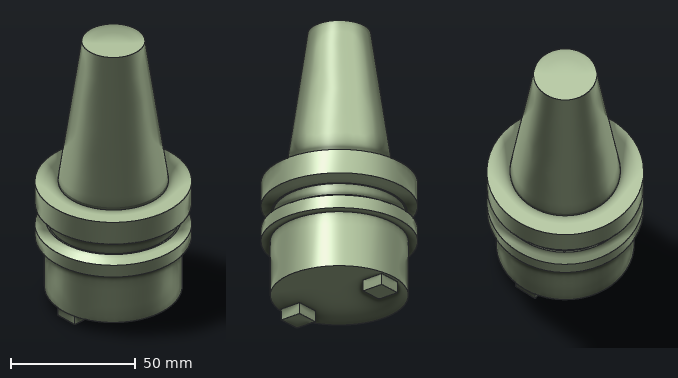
import cadquery as cq

total_height = 121.1
key_height = 4.8
flange_bottom = 28.8
flange_top = 54.7

shank_top_radius = 12.7
shank_base_radius = 22.2
collar_height = 1.0

flange_radius = 31.5
groove_radius = 26.5
groove_shoulder_radius = 27.2
lower_rim_top = 34.4
groove_floor_bottom = 36.8
groove_floor_top = 41.9
upper_rim_bottom = 44.3

nose_radius = 27.7
key_width = 9.9
key_length = 9.6
key_center_offset = 21.3


def make_body():
    """Revolve the shank, flange and nose about the Z axis."""
    profile = [
        (0, key_height),
        (nose_radius, key_height),
        (nose_radius, flange_bottom),
        (flange_radius, flange_bottom),
        (flange_radius, lower_rim_top),
        (groove_shoulder_radius, groove_floor_bottom),
        (groove_radius, groove_floor_bottom),
        (groove_radius, groove_floor_top),
        (groove_shoulder_radius, groove_floor_top),
        (flange_radius, upper_rim_bottom),
        (flange_radius, flange_top),
        (shank_base_radius, flange_top),
        (shank_base_radius, flange_top + collar_height),
        (shank_top_radius, total_height),
        (0, total_height),
    ]
    return cq.Workplane("XZ").polyline(profile).close().revolve(360, (0, 0), (0, 1))


def make_drive_keys():
    """Two rectangular keys, opposite each other along Y, below the nose face."""
    return (
        cq.Workplane("XY")
        .pushPoints([(0, -key_center_offset), (0, key_center_offset)])
        .rect(key_width, key_length)
        .extrude(key_height)
    )


result = make_body().union(make_drive_keys())